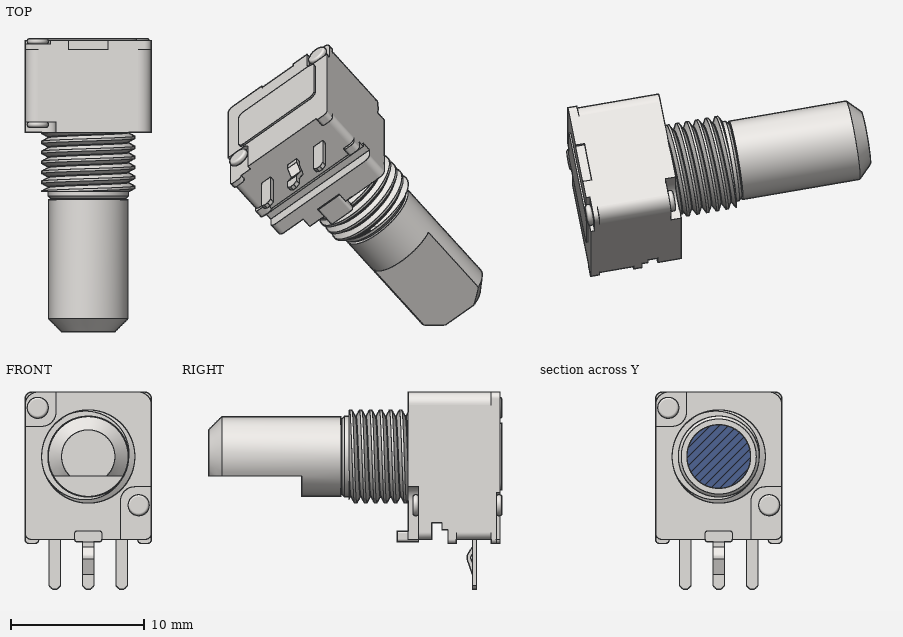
import cadquery as cq
import math


width = 9.5
top_z = 4.85
bottom_z = -6.25
rear_plate_start = 6.25
rear_face = 6.92
seam_y = 2.54
top_radius = 1.0
plate_radius = 0.5
bottom_radius = 0.5

gap_front_y = 1.79
gap_rear_y = 3.0
gap_front_z = -4.98
gap_rear_z = -5.51

foot_width = 1.04
foot_bottom_z = -6.55
foot_spans = ((gap_rear_y, 3.64), (rear_plate_start, rear_face))

rivet_x = 3.8
rivet_z = 3.65
rivet_radius = 0.8
rivet_round = 0.18
front_recess_depth = 0.8
front_recess_x = 2.43
front_recess_z = 2.27
front_recess_radius = 1.05
rear_recess_depth = 0.29
rear_recess_margin = 0.95
rear_recess_radius = 0.5
rear_pad_height = 0.13
rear_pad_width = 7.28
rear_pad_length = 5.03
rear_pad_radius = 0.53
rivet_height = rear_recess_depth + rear_pad_height

notch_width = 3.0
notch_depth = 0.26

peg_width = 2.07
peg_top_z = -5.6
peg_bottom_z = -6.42
peg_length = 0.82
peg_radius = 0.2

pin_pitch = 2.51
pin_width = 0.88
pin_front_y = 4.83
pin_rear_y = 5.15
pin_tip_z = -9.99
pin_tip_chamfer = 0.29
pin_root_z = bottom_z + 0.45

kink_front_y = 4.43
kink_inner_y = 4.7
kink_rounding = 0.07
kink_top_z = -6.8
kink_shoulder_z = -7.32
kink_crest_z = -7.59
kink_crest_end_z = -7.72
kink_bottom_z = -8.86

bushing_radius = 3.05
bushing_length = 4.98
bushing_chamfer = 0.22
bushing_root_y = 0.22
thread_radius = 3.5
thread_pitch = 0.75
thread_length = 4.45
thread_crest = 0.18
thread_base = 0.73
thread_overlap = 0.05
crest_y = -0.37

shaft_radius = 3.0
shaft_start = 5.05
shaft_tip = 15.0
shaft_chamfer = 1.0
flat_start = 8.0
flat_z = -1.48
neck_radius = 2.4


def box(x0, x1, y0, y1, z0, z1):
    return cq.Workplane("XY").box(x1 - x0, y1 - y0, z1 - z0, centered=False).translate((x0, y0, z0))


def cylinder(radius, y0, y1):
    """Cylinder on the shaft axis."""
    return cq.Workplane("XZ", origin=(0, y1, 0)).circle(radius).extrude(y1 - y0)


def housing_slab(y0, y1, low_z, upper_radius, lower_radius=0.0):
    """Full-width slab of the housing with rounded upper and, optionally, lower corners."""
    slab = box(-width / 2, width / 2, y0, y1, low_z, top_z)
    slab = slab.edges("|Y and >Z").fillet(upper_radius)
    if lower_radius:
        slab = slab.edges("|Y and <Z").fillet(lower_radius)
    return slab


def foot(side, y0, y1):
    """Foot flush with one side of the housing; its rounds reach up to the underside."""
    height = bottom_z - foot_bottom_z
    outer = side * width / 2
    inner = outer - side * foot_width
    block = box(min(outer, inner), max(outer, inner), y0, y1, foot_bottom_z, bottom_z + height)
    return block.edges("|Y and <Z").fillet(height)


def corner_recess(side, x_edge, z_edge, z_end, radius, y0, y1):
    """Block that clears one housing corner, rounded where its two walls meet."""
    x_end = side * width
    block = box(min(side * x_edge, x_end), max(side * x_edge, x_end), y0, y1,
                min(z_edge, z_end), max(z_edge, z_end))
    inner_x = "<X" if side > 0 else ">X"
    inner_z = ">Z" if side > 0 else "<Z"
    return block.edges("|Y").edges(inner_x).edges(inner_z).fillet(radius)


def rivet(side, floor_y, toward):
    """Rivet head, rounded on both rims, standing on a recess floor; toward is its direction along Y."""
    y0, y1 = sorted((floor_y, floor_y + toward * rivet_height))
    head = cylinder(rivet_radius, y0, y1).edges("%CIRCLE").fillet(rivet_round)
    return head.translate((side * rivet_x, 0, -side * rivet_z))


def build_housing():
    body = housing_slab(0, gap_front_y, bottom_z, top_radius, bottom_radius)
    body = body.union(housing_slab(gap_front_y, seam_y, gap_front_z, top_radius))
    body = body.union(housing_slab(seam_y, gap_rear_y, gap_rear_z, top_radius))
    mid_foot_end = foot_spans[0][1]
    body = body.union(housing_slab(gap_rear_y, mid_foot_end, bottom_z, top_radius))
    body = body.union(housing_slab(mid_foot_end, rear_plate_start, bottom_z, top_radius, bottom_radius))
    body = body.union(housing_slab(rear_plate_start, rear_face, bottom_z, plate_radius))

    for y0, y1 in foot_spans:
        for side in (-1, 1):
            body = body.union(foot(side, y0, y1))

    body = body.cut(box(-notch_width / 2, notch_width / 2, rear_plate_start, rear_face,
                        top_z - notch_depth, top_z))

    pad_end = rear_face + rear_pad_height
    pad = box(-rear_pad_width / 2, rear_pad_width / 2, rear_plate_start, pad_end,
              -rear_pad_length / 2, rear_pad_length / 2)
    body = body.union(pad.edges("|Y").fillet(rear_pad_radius))

    rear_recess_floor = rear_face - rear_recess_depth
    for side in (-1, 1):
        beyond = -side * 2 * top_z
        body = body.cut(corner_recess(side, front_recess_x, -side * front_recess_z, beyond,
                                      front_recess_radius, 0, front_recess_depth))
        body = body.cut(corner_recess(side, rivet_x - rear_recess_margin,
                                      -side * (rivet_z - rear_recess_margin), beyond,
                                      rear_recess_radius, rear_recess_floor, rear_face))
        body = body.union(rivet(side, front_recess_depth, -1))
        body = body.union(rivet(side, rear_recess_floor, 1))

    peg = box(-peg_width / 2, peg_width / 2, -peg_length, front_recess_depth, peg_bottom_z, peg_top_z)
    return body.union(peg.edges("|Y").fillet(peg_radius))


def straight_pin(x):
    pin = box(x - pin_width / 2, x + pin_width / 2, pin_front_y, pin_rear_y, pin_tip_z, pin_root_z)
    return pin.edges("|Y and <Z").chamfer(pin_tip_chamfer)


def kinked_pin():
    """Middle terminal, bent forward into a snap-in kink below the housing."""
    side_profile = (
        cq.Workplane("YZ", origin=(-pin_width / 2, 0, 0))
        .moveTo(pin_front_y, pin_root_z)
        .lineTo(pin_front_y, kink_top_z)
        .lineTo(kink_front_y + kink_rounding, kink_shoulder_z)
        .tangentArcPoint((kink_front_y, kink_crest_z), relative=False)
        .lineTo(kink_front_y, kink_crest_end_z)
        .lineTo(pin_front_y, kink_bottom_z)
        .lineTo(pin_front_y, pin_tip_z)
        .lineTo(pin_rear_y, pin_tip_z)
        .lineTo(pin_rear_y, kink_bottom_z)
        .lineTo(kink_inner_y, kink_crest_z)
        .lineTo(pin_rear_y, kink_top_z)
        .lineTo(pin_rear_y, pin_root_z)
        .close()
        .extrude(pin_width)
    )
    return side_profile.edges("|Y and <Z").chamfer(pin_tip_chamfer)


def build_thread():
    """Right-handed thread ridge, trimmed flat at both ends of the threaded length."""
    root = bushing_radius - thread_overlap
    spare_turns = 2
    turns = math.ceil(thread_length / thread_pitch) + spare_turns
    path = cq.Wire.makeHelix(thread_pitch, turns * thread_pitch, root)
    ridge = (
        cq.Workplane("XZ")
        .moveTo(root, -thread_base / 2)
        .lineTo(thread_radius, -thread_crest / 2)
        .lineTo(thread_radius, thread_crest / 2)
        .lineTo(root, thread_base / 2)
        .close()
        .sweep(cq.Workplane(obj=path), isFrenet=True)
    )
    start_y = crest_y + thread_pitch
    ridge = ridge.rotate((0, 0, 0), (1, 0, 0), 90).translate((0, start_y, 0))
    trimming_radius = 2 * thread_radius
    return ridge.intersect(cylinder(trimming_radius, -thread_length, 0))


def build_shaft():
    """Shaft with a chamfered tip, a flat on its lower side and a neck joining it to the bushing."""
    shaft = cylinder(shaft_radius, -shaft_tip, -shaft_start)
    shaft = shaft.faces("<Y").edges().chamfer(shaft_chamfer)
    flat_cut = box(-shaft_radius, shaft_radius, -shaft_tip, -flat_start, -shaft_radius, flat_z)
    return shaft.cut(flat_cut).union(cylinder(neck_radius, -shaft_start, -bushing_length))


def build_bushing():
    bushing = cylinder(bushing_radius, -bushing_length, bushing_root_y)
    return bushing.faces("<Y").edges().chamfer(bushing_chamfer)


result = build_housing().union(build_bushing()).union(build_thread()).union(build_shaft())
for pin_x in (-pin_pitch, pin_pitch):
    result = result.union(straight_pin(pin_x))
result = result.union(kinked_pin())